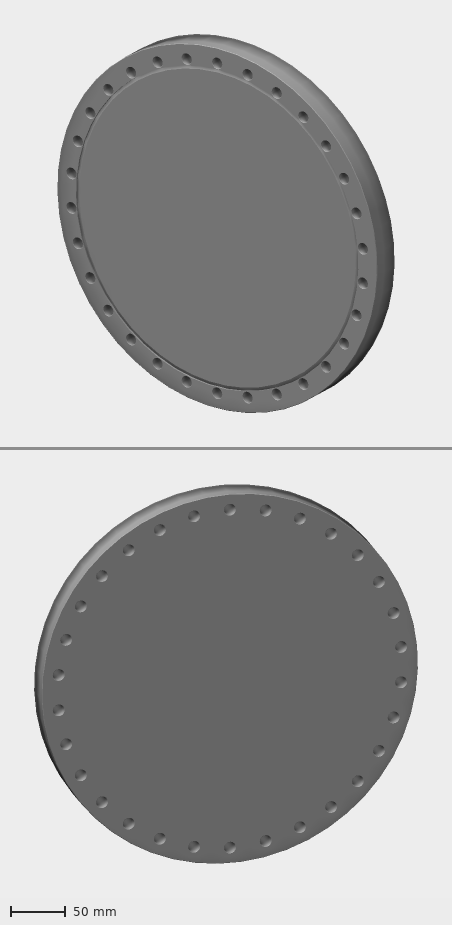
import cadquery as cq
import math

outer_diameter = 355.6
thickness = 28.4
rim_chamfer = 0.5

recess_diameter = 313.5
knife_diameter = 307.0
knife_tip_depth = 0.7
knife_slope_angle = 20.0

bolt_circle_diameter = 325.4
bolt_count = 30
bolt_hole_diameter = 10.5
bolt_hole_chamfer = 0.4

outer_radius = outer_diameter / 2
recess_radius = recess_diameter / 2
knife_radius = knife_diameter / 2
slope_drop = (recess_radius - knife_radius) * math.tan(math.radians(knife_slope_angle))
recess_depth = knife_tip_depth + slope_drop


def flange_body():
    """Revolve the half section, drawn as (Y, radius), about the Y axis."""
    half_section = (
        cq.Workplane("YZ")
        .moveTo(knife_tip_depth, 0)
        .lineTo(knife_tip_depth, knife_radius)
        .lineTo(recess_depth, recess_radius)
        .lineTo(0, recess_radius)
        .lineTo(0, outer_radius - rim_chamfer)
        .lineTo(rim_chamfer, outer_radius)
        .lineTo(thickness - rim_chamfer, outer_radius)
        .lineTo(thickness, outer_radius - rim_chamfer)
        .lineTo(thickness, 0)
        .close()
    )
    return half_section.revolve(360, (0, 0, 0), (1, 0, 0))


def bolt_hole_cutter():
    """Through hole along the Y axis, chamfered at both faces."""
    hole_radius = bolt_hole_diameter / 2
    mouth_radius = hole_radius + bolt_hole_chamfer
    half_section = (
        cq.Workplane("YZ")
        .moveTo(0, 0)
        .lineTo(0, mouth_radius)
        .lineTo(bolt_hole_chamfer, hole_radius)
        .lineTo(thickness - bolt_hole_chamfer, hole_radius)
        .lineTo(thickness, mouth_radius)
        .lineTo(thickness, 0)
        .close()
    )
    return half_section.revolve(360, (0, 0, 0), (1, 0, 0)).val()


def bolt_holes():
    """Hole cutters evenly spaced on the bolt circle, the first one on +Z."""
    cutter = bolt_hole_cutter().translate(cq.Vector(0, 0, bolt_circle_diameter / 2))
    axis_start = cq.Vector(0, 0, 0)
    axis_end = cq.Vector(0, 1, 0)
    pitch_angle = 360 / bolt_count
    cutters = [cutter.rotate(axis_start, axis_end, i * pitch_angle) for i in range(bolt_count)]
    return cq.Workplane(cq.Compound.makeCompound(cutters))


result = flange_body().cut(bolt_holes())